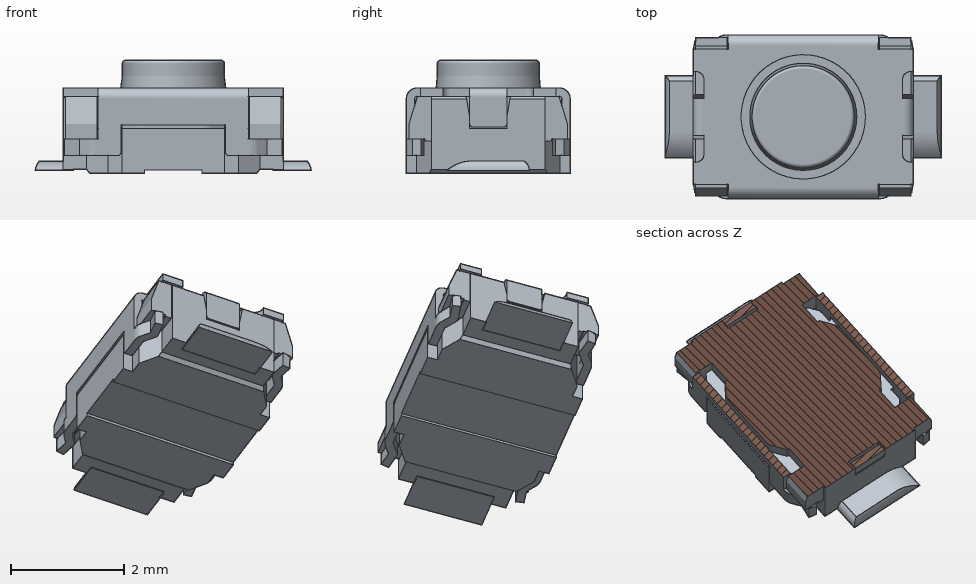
import cadquery as cq
import math

total_length = 4.88
body_length = 3.895
body_width = 2.9
total_height = 2.0
sheet = 0.15
cover_top = 1.515

half_length = body_length / 2
half_width = body_width / 2
housing_top = cover_top - sheet
flange_inner = half_width - sheet

corner_half_width = 1.195
flange_half_length = 1.325
flange_bend = 0.195
flange_bottom = 0.315
window_half_length = 0.92
window_top = 0.86
window_corner = 0.06
pick_margin = 0.005
hole_radius = 1.1
ear_top = 0.61
ear_bend_x = 1.475
ear_bend_y = 1.42
ear_valley_x = 1.655
ear_valley_y = 1.295
ear_end_x = 1.92
ear_end_y = 1.335
ear_bend_start = 1.355
clip_half_width = 0.325
clip_bottom = 0.82
clip_bend = 0.165
clip_corner = 0.055
relief_depth = 0.195
relief_half_width = 0.8
relief_corner = 0.145

core_half_width = 1.005
core_bottom = 0.075
core_top_chamfer = 0.045
foot_half_length = 1.53
foot_shoulder_x = 1.15
foot_shoulder_y = 1.265
foot_chamfer_x = 0.06
block_half_length = 0.905
block_top = 0.79
groove_half_length = 0.508
groove_depth = 0.06
bulge_flat_x = 0.52
bulge_side_x = 0.67
bulge_y = 1.25
bulge_side_y = 1.21
bulge_root_y = 1.05
wing_inner_x = 1.345
wing_outer_x = 1.905
wing_top_y = 1.255
wing_tip_y = 1.4
wing_shoulder = 0.87
wing_bottom = 0.61
wing_root_bottom = 0.575
wing_root_y = 1.118
pocket_bottom = 0.79
pocket_flare_start = 0.985
pocket_flare = 0.065

terminal_half_width = 0.725
terminal_bottom = 0.055
terminal_top = 0.22
terminal_root_x = 1.765
terminal_bulge_height = 0.105
terminal_bulge_inset = 0.035
terminal_end_run = 0.075
terminal_steep_run = 0.1
terminal_round_run = 0.44

button_radius = 0.905
button_base_radius = 0.945
button_taper_top = 1.728
button_edge = 0.06


def box(x0, x1, y0, y1, z0, z1):
    return cq.Workplane("XY").box(x1 - x0, y1 - y0, z1 - z0, centered=False).translate((x0, y0, z0))


def both_x(shape):
    """The shape and its mirror image across the plane X = 0."""
    return shape.union(shape.mirror("YZ"))


def both_y(shape):
    """The shape and its mirror image across the plane Y = 0."""
    return shape.union(shape.mirror("XZ"))


def make_flanges():
    """Folded strip: the middle of the plate with its two side flanges."""
    end_x = flange_half_length
    outside = box(-end_x, end_x, -half_width, half_width, flange_bottom, cover_top)
    inside = box(-end_x, end_x, -flange_inner, flange_inner, flange_bottom, housing_top)
    outside = outside.edges("|X and >Z").fillet(flange_bend)
    inside = inside.edges("|X and >Z").fillet(flange_bend - sheet)
    strip = outside.cut(inside)
    window = box(-window_half_length, window_half_length, -half_width, half_width, flange_bottom, window_top)
    strip = strip.cut(window)
    lower_corners = cq.selectors.BoxSelector(
        (-window_half_length - pick_margin, -half_width - pick_margin, flange_bottom - pick_margin),
        (window_half_length + pick_margin, half_width + pick_margin, flange_bottom + pick_margin),
    )
    return strip.edges("|Y").edges(lower_corners).fillet(window_corner)


def make_ear():
    """Foot of a flange (+X, +Y corner), bent in and then slightly out again."""
    slope = math.atan2(ear_bend_y - ear_valley_y, ear_valley_x - ear_bend_x)
    flare = math.atan2(ear_end_y - ear_valley_y, ear_end_x - ear_valley_x)
    bend_radius = (ear_bend_x - ear_bend_start) / math.sin(slope)
    inner_bend_start = (ear_bend_x - sheet * math.sin(slope), ear_bend_y - sheet * math.cos(slope))
    valley_turn = (slope - flare) / 2
    valley_reach = sheet / math.cos((slope + flare) / 2)
    inner_valley = (
        ear_valley_x - valley_reach * math.sin(valley_turn),
        ear_valley_y - valley_reach * math.cos(valley_turn),
    )
    inner_end = (ear_end_x + sheet * math.sin(flare), ear_end_y - sheet * math.cos(flare))
    bend_middle = (
        ear_bend_start + bend_radius * math.sin(slope / 2),
        half_width - bend_radius * (1 - math.cos(slope / 2)),
    )
    return (
        cq.Workplane("XY", origin=(0, 0, flange_bottom))
        .moveTo(flange_half_length - sheet, half_width)
        .lineTo(ear_bend_start, half_width)
        .threePointArc(bend_middle, (ear_bend_x, ear_bend_y))
        .lineTo(ear_valley_x, ear_valley_y)
        .lineTo(ear_end_x, ear_end_y)
        .lineTo(*inner_end)
        .lineTo(*inner_valley)
        .lineTo(*inner_bend_start)
        .lineTo(flange_half_length - sheet, flange_inner)
        .close()
        .extrude(ear_top - flange_bottom)
    )


def make_clip():
    """Clip at the +X end, bent down from the plate."""
    root_x = half_length - 2 * relief_depth
    outside = box(root_x, half_length, -clip_half_width, clip_half_width, clip_bottom, cover_top)
    inside = box(root_x, half_length - sheet, -clip_half_width, clip_half_width, clip_bottom, housing_top)
    outside = outside.edges("|Y and >X and >Z").fillet(clip_bend)
    inside = inside.edges("|Y and >X and >Z").fillet(clip_bend - sheet)
    return outside.cut(inside).edges("|X and <Z").fillet(clip_corner)


def make_relief():
    """Cut-out in the +X edge of the plate, on both sides of the clip."""
    inner_x = half_length - relief_depth
    relief = box(inner_x, half_length, -relief_half_width, relief_half_width, housing_top, cover_top)
    return relief.edges("|Z and <X").fillet(relief_corner)


def make_cover():
    plate = box(-half_length, half_length, -corner_half_width, corner_half_width, housing_top, cover_top)
    cover = plate.cut(both_x(make_relief())).union(make_flanges())
    cover = cover.union(both_y(both_x(make_ear()))).union(both_x(make_clip()))
    hole = cq.Workplane("XY", origin=(0, 0, housing_top)).circle(hole_radius).extrude(sheet)
    return cover.cut(hole)


def make_core():
    core = box(-half_length, half_length, -core_half_width, core_half_width, core_bottom, housing_top)
    return core.edges("|Y and >Z").chamfer(core_top_chamfer)


def make_foot():
    """Lower body with slanted corners and sloping ends below the core."""
    half = [
        (foot_half_length, core_half_width),
        (foot_shoulder_x, foot_shoulder_y),
        (-foot_shoulder_x, foot_shoulder_y),
        (-foot_half_length, core_half_width),
    ]
    outline = half + [(-x, -y) for x, y in half]
    foot = cq.Workplane("XY").polyline(outline).close().extrude(block_top)
    ends = [
        (-foot_half_length, block_top),
        (-foot_half_length, core_bottom),
        (-foot_half_length + foot_chamfer_x, 0),
        (foot_half_length - foot_chamfer_x, 0),
        (foot_half_length, core_bottom),
        (foot_half_length, block_top),
    ]
    side = cq.Workplane("XZ").polyline(ends).close().extrude(half_width, both=True)
    return foot.intersect(side)


def make_bulge():
    """Raised wall behind the +Y flange and above the block."""
    return (
        cq.Workplane("XY", origin=(0, 0, block_top))
        .moveTo(-block_half_length, 0)
        .lineTo(-block_half_length, bulge_root_y)
        .lineTo(-bulge_side_x, bulge_side_y)
        .tangentArcPoint((-bulge_flat_x, bulge_y), relative=False)
        .lineTo(bulge_flat_x, bulge_y)
        .tangentArcPoint((bulge_side_x, bulge_side_y), relative=False)
        .lineTo(block_half_length, bulge_root_y)
        .lineTo(block_half_length, 0)
        .close()
        .extrude(housing_top - block_top)
    )


def make_wing():
    """Wing at the +X, +Y corner: sloping outer face, underside raised to clear the ear."""
    profile = [
        (0, wing_root_bottom),
        (wing_root_y, wing_root_bottom),
        (wing_root_y, wing_bottom),
        (wing_tip_y, wing_bottom),
        (wing_tip_y, wing_shoulder),
        (wing_top_y, housing_top),
        (0, housing_top),
    ]
    wing = cq.Workplane("YZ", origin=(wing_inner_x, 0, 0)).polyline(profile).close()
    return wing.extrude(wing_outer_x - wing_inner_x)


def make_pocket():
    """Pocket for the clip at the +X end, flared towards the top."""
    flare_half_width = clip_half_width + pocket_flare
    profile = [
        (-clip_half_width, pocket_bottom),
        (clip_half_width, pocket_bottom),
        (clip_half_width, pocket_flare_start),
        (flare_half_width, housing_top),
        (-flare_half_width, housing_top),
        (-clip_half_width, pocket_flare_start),
    ]
    pocket = cq.Workplane("YZ", origin=(half_length - relief_depth, 0, 0)).polyline(profile).close()
    return pocket.extrude(relief_depth)


def make_terminal():
    """Solder terminal at the +X end, with a steep +Y side and a gently rounded -Y side."""
    reach = total_length / 2
    bulge_z = terminal_bottom + terminal_bulge_height
    bar = (
        cq.Workplane("YZ", origin=(terminal_root_x, 0, 0))
        .moveTo(terminal_half_width, terminal_bottom)
        .threePointArc(
            (terminal_half_width - terminal_bulge_inset, bulge_z),
            (terminal_half_width - terminal_steep_run, terminal_top),
        )
        .lineTo(terminal_round_run - terminal_half_width, terminal_top)
        .tangentArcPoint((-terminal_half_width, terminal_bottom), relative=False)
        .close()
        .extrude(reach - terminal_root_x)
    )
    side = (
        cq.Workplane("XZ")
        .moveTo(terminal_root_x, terminal_bottom)
        .lineTo(reach, terminal_bottom)
        .threePointArc((reach - terminal_bulge_inset, bulge_z), (reach - terminal_end_run, terminal_top))
        .lineTo(terminal_root_x, terminal_top)
        .close()
        .extrude(half_width, both=True)
    )
    return bar.intersect(side)


def make_housing():
    block = box(-block_half_length, block_half_length, -half_width, half_width, 0, block_top)
    housing = make_core().union(make_foot()).union(block)
    housing = housing.union(both_y(make_bulge())).union(both_y(both_x(make_wing())))
    groove = box(-groove_half_length, groove_half_length, -half_width, half_width, 0, groove_depth)
    housing = housing.cut(groove).cut(both_x(make_pocket()))
    return housing.union(both_x(make_terminal()))


def make_button():
    """Round button: tapered foot, straight side and rounded top edge."""
    profile = [
        (0, housing_top),
        (button_base_radius, housing_top),
        (button_radius, button_taper_top),
        (button_radius, total_height),
        (0, total_height),
    ]
    button = cq.Workplane("XZ").polyline(profile).close().revolve(360, (0, 0, 0), (0, 1, 0))
    return button.edges(">Z").fillet(button_edge)


cover = make_cover()
housing = make_housing()
button = make_button()

result = cq.Compound.makeCompound([cover.val(), housing.val(), button.val()])